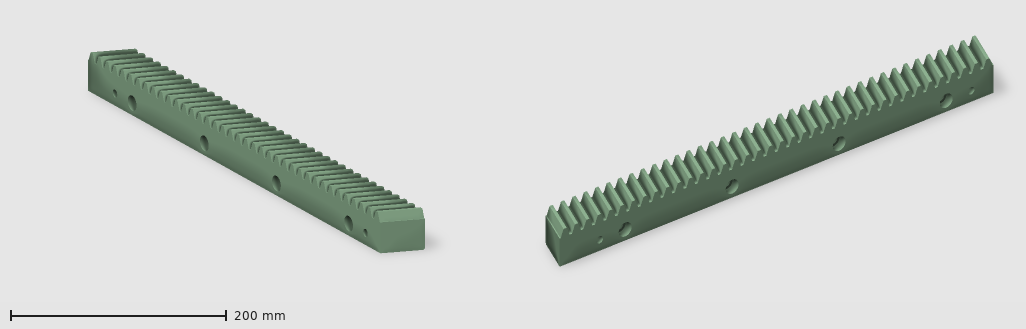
import cadquery as cq
import math

overall_length = 520.0
width = 40.0
height = 39.5
helix_angle = math.radians(19.5)
end_slant = width * math.tan(helix_angle)
face_length = overall_length - end_slant
back_edge_chamfer = 1.5

tooth_count = 38
end_clearance = 0.25
tooth_pitch = (face_length + 2 * end_clearance) / tooth_count
tooth_height = 9.0
root_flat = 2.85
normal_pressure_angle = math.radians(20)
flank_slope = math.tan(normal_pressure_angle) / math.cos(helix_angle)
cutter_overshoot = 2.5

hole_height = 12.0
screw_count = 4
screw_pitch = 125.0
first_screw_x = 76.5
screw_diameter = 10.0
counterbore_diameter = 15.0
counterbore_depth = 9.5
dowel_diameter = 8.0
first_dowel_x = 47.0
dowel_spacing = 433.0


def sheared_prism(profile):
    """Sweep an XZ profile from the front face to the back face along the tooth direction."""
    front = cq.Wire.makePolygon([cq.Vector(x, 0, z) for x, z in profile], close=True)
    back = front.translate(cq.Vector(end_slant, width, 0))
    return cq.Workplane(cq.Solid.makeLoft([front, back], True))


def make_bar():
    bar = sheared_prism([(0, 0), (face_length, 0), (face_length, height), (0, height)])
    return bar.edges(">Y and <Z").chamfer(back_edge_chamfer)


def make_tooth_gap(center_x):
    root_half = root_flat / 2
    top_half = root_half + flank_slope * (tooth_height + cutter_overshoot)
    root_z = height - tooth_height
    top_z = height + cutter_overshoot
    return sheared_prism([
        (center_x - root_half, root_z),
        (center_x + root_half, root_z),
        (center_x + top_half, top_z),
        (center_x - top_half, top_z),
    ])


def make_cross_hole(x, diameter, depth):
    return cq.Workplane("XZ", origin=(x, 0, hole_height)).circle(diameter / 2).extrude(-depth)


result = make_bar()

for index in range(tooth_count + 1):
    result = result.cut(make_tooth_gap(index * tooth_pitch - end_clearance))

for index in range(screw_count):
    x = first_screw_x + index * screw_pitch
    result = result.cut(make_cross_hole(x, screw_diameter, width))
    result = result.cut(make_cross_hole(x, counterbore_diameter, counterbore_depth))

for x in (first_dowel_x, first_dowel_x + dowel_spacing):
    result = result.cut(make_cross_hole(x, dowel_diameter, width))